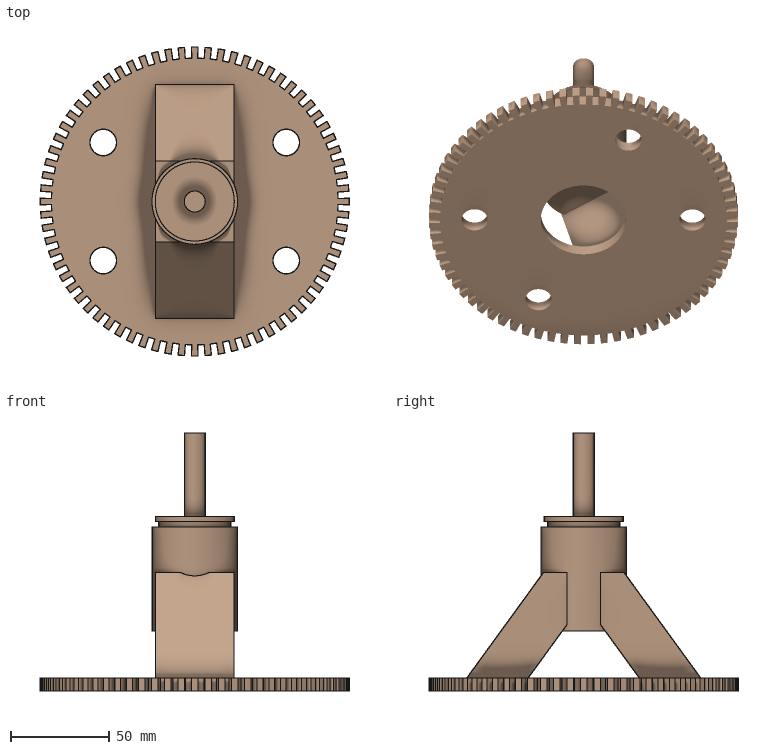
import cadquery as cq
import math

OUTER_RADIUS = 78.5
ROOT_RADIUS = 72.8
PLATE_THICKNESS = 6.7
TOOTH_COUNT = 72
TOOTH_PITCH = 360.0 / TOOTH_COUNT
TOOTH_ANGLE = TOOTH_PITCH / 2
MOUNT_HOLE_DIAMETER = 13.3
MOUNT_HOLE_X = 46.5
MOUNT_HOLE_Y = 30.0

HUB_DIAMETER = 43.5
HUB_RADIUS = HUB_DIAMETER / 2
HUB_BOTTOM = 30.5
HUB_TOP = 83.3

NECK_RADIUS = 18.4
FLANGE_RADIUS = 20.1
STEP_HEIGHT = 2.7
FLANGE_BOTTOM = HUB_TOP + STEP_HEIGHT
FLANGE_TOP = FLANGE_BOTTOM + STEP_HEIGHT
SHAFT_RADIUS = 5.3
TOTAL_HEIGHT = 131.0

LEG_WIDTH = 40.0
LEG_TILT = 36.0
LEG_THICKNESS = 25.3
LEG_TOP = 60.1
LEG_FOOT_OUTER = 59.3


def cylinder(radius, bottom, top):
    return cq.Workplane("XY").workplane(offset=bottom).circle(radius).extrude(top - bottom)


def polar(radius, angle):
    turn = math.radians(angle)
    return (radius * math.cos(turn), radius * math.sin(turn))


def make_plate():
    """Disc with radial-sided teeth, one of them centred on +X, and five through holes."""
    half_tooth = TOOTH_ANGLE / 2
    outline = cq.Workplane("XY").moveTo(*polar(ROOT_RADIUS, -half_tooth))
    for tooth in range(TOOTH_COUNT):
        middle = tooth * TOOTH_PITCH
        start = middle - half_tooth
        end = middle + half_tooth
        next_start = start + TOOTH_PITCH
        outline = outline.lineTo(*polar(OUTER_RADIUS, start))
        outline = outline.threePointArc(polar(OUTER_RADIUS, middle), polar(OUTER_RADIUS, end))
        outline = outline.lineTo(*polar(ROOT_RADIUS, end))
        outline = outline.threePointArc(
            polar(ROOT_RADIUS, (end + next_start) / 2), polar(ROOT_RADIUS, next_start)
        )
    plate = outline.close().extrude(PLATE_THICKNESS)
    mount_holes = (
        cq.Workplane("XY")
        .rect(2 * MOUNT_HOLE_X, 2 * MOUNT_HOLE_Y, forConstruction=True)
        .vertices()
        .circle(MOUNT_HOLE_DIAMETER / 2)
        .extrude(PLATE_THICKNESS)
    )
    return plate.cut(mount_holes).cut(cylinder(HUB_RADIUS, 0, PLATE_THICKNESS))


def make_leg():
    """Leg on the +Y side, standing on the plate and running into the hub up to its axis."""
    run_per_rise = math.tan(math.radians(LEG_TILT))
    foot_inner = LEG_FOOT_OUTER - LEG_THICKNESS / math.cos(math.radians(LEG_TILT))
    top_outer = LEG_FOOT_OUTER - (LEG_TOP - PLATE_THICKNESS) * run_per_rise
    inner_height_at_axis = PLATE_THICKNESS + foot_inner / run_per_rise
    return (
        cq.Workplane("YZ")
        .polyline([
            (foot_inner, PLATE_THICKNESS),
            (LEG_FOOT_OUTER, PLATE_THICKNESS),
            (top_outer, LEG_TOP),
            (0, LEG_TOP),
            (0, inner_height_at_axis),
        ])
        .close()
        .extrude(LEG_WIDTH / 2, both=True)
    )


def make_hub():
    hub = cylinder(HUB_RADIUS, HUB_BOTTOM, HUB_TOP)
    neck = cylinder(NECK_RADIUS, HUB_TOP, FLANGE_BOTTOM)
    flange = cylinder(FLANGE_RADIUS, FLANGE_BOTTOM, FLANGE_TOP)
    shaft = cylinder(SHAFT_RADIUS, FLANGE_TOP, TOTAL_HEIGHT)
    return hub.union(neck).union(flange).union(shaft)


leg = make_leg()
legs = leg.union(leg.mirror("XZ"))
result = make_plate().union(legs).union(make_hub())